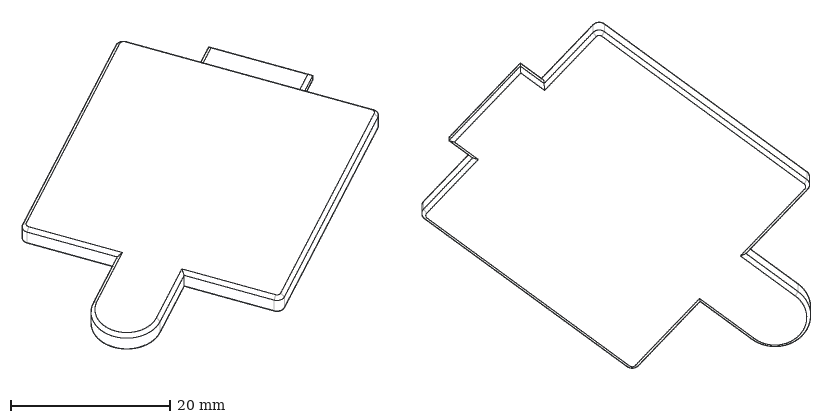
import cadquery as cq

plate_size = 35.2
plate_thickness = 3.0
corner_radius = 1.0
edge_chamfer = 0.5

handle_width = 9.0
handle_length = 13.01

tab_width = 14.0
tab_length = 3.9
tab_thickness = 1.8

plate_half = plate_size / 2
handle_radius = handle_width / 2
handle_straight = handle_length - handle_radius


def plate_with_handle():
    """Square plate and its handle as one body, chamfered around both faces."""
    plate = (
        cq.Workplane("XY")
        .rect(plate_size, plate_size)
        .extrude(plate_thickness)
        .edges("|Z")
        .fillet(corner_radius)
    )
    handle = (
        cq.Workplane("XY")
        .moveTo(-handle_radius, 0)
        .lineTo(-handle_radius, -plate_half - handle_straight)
        .threePointArc(
            (0, -plate_half - handle_length),
            (handle_radius, -plate_half - handle_straight),
        )
        .lineTo(handle_radius, 0)
        .close()
        .extrude(plate_thickness)
    )
    body = plate.union(handle)
    return body.faces("<Z or >Z").chamfer(edge_chamfer)


def locating_tab():
    """Rectangular tab, chamfered on its free edges, reaching into the plate."""
    root_overlap = 2 * edge_chamfer
    full_length = tab_length + root_overlap
    return (
        cq.Workplane("XY")
        .center(0, plate_half - root_overlap + full_length / 2)
        .rect(tab_width, full_length)
        .extrude(tab_thickness)
        .faces("<Z or >Z")
        .edges("|Y or >Y")
        .chamfer(edge_chamfer)
    )


result = plate_with_handle().union(locating_tab())